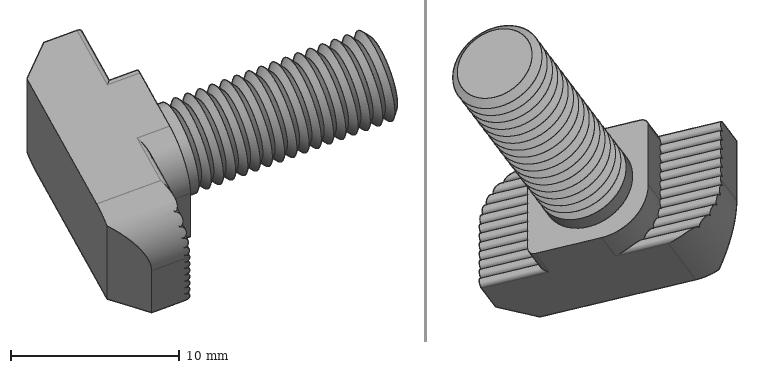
import cadquery as cq


head_length = 15.6
head_height = 7.8
head_thickness = 4.5
head_round = 3.5
end_chamfer = 2.0

ridge_count = 12
ridge_radius = head_height / ridge_count / 2
ridge_root_y = head_thickness - ridge_radius

neck_width = head_height
neck_end_y = 6.31
neck_large_round = 3.01
neck_small_round = 0.5

shank_end_y = 20.5
thread_radius = 2.9
root_radius = 2.42
thread_pitch = 0.8
thread_turns = 17


def extrude_along_y(outline, length):
    """Turn an XZ outline (drawn on the XY plane) into a solid from y = 0 to y = length."""
    solid = outline.extrude(length)
    return solid.rotate((0, 0, 0), (1, 0, 0), 90).translate((0, length, 0))


def two_radius_block(width, height, length, turning_round, other_round=0.0):
    """Block with turning_round on its +X+Z and -X-Z edges and other_round on the other two."""
    outline = cq.Sketch().rect(width, height)
    turning_corners = outline.vertices(">(1,1,0) or <(1,1,0)")
    outline = turning_corners.fillet(turning_round).reset()
    if other_round:
        outline = outline.vertices(">(1,-1,0) or <(1,-1,0)").fillet(other_round).reset()
    return extrude_along_y(cq.Workplane("XY").placeSketch(outline), length)


def serrated_bar():
    """Bar along X whose +Y side is a row of half-round ridges."""
    bottom_z = -head_height / 2
    profile = cq.Workplane("YZ").moveTo(0, bottom_z).lineTo(ridge_root_y, bottom_z)
    for ridge in range(ridge_count):
        start_z = bottom_z + 2 * ridge_radius * ridge
        crest = (head_thickness, start_z + ridge_radius)
        end = (ridge_root_y, start_z + 2 * ridge_radius)
        profile = profile.threePointArc(crest, end)
    profile = profile.lineTo(0, head_height / 2).close()
    return profile.extrude(head_length / 2, both=True)


def bevelled_plan():
    """Head shape in XY: a rectangle with both corners of the flat face cut off."""
    half_length = head_length / 2
    face_half_length = half_length - end_chamfer
    plan = cq.Workplane("XY", origin=(0, 0, -head_height / 2)).polyline([
        (-face_half_length, 0),
        (face_half_length, 0),
        (half_length, end_chamfer),
        (half_length, head_thickness),
        (-half_length, head_thickness),
        (-half_length, end_chamfer),
    ])
    return plan.close().extrude(head_height)


def make_head():
    rounded_block = two_radius_block(head_length, head_height, head_thickness, head_round)
    return rounded_block.intersect(serrated_bar()).intersect(bevelled_plan())


def make_neck():
    return two_radius_block(neck_width, neck_width, neck_end_y, neck_large_round, neck_small_round)


def make_shank():
    """Revolved shank: V-shaped rings from the tip down, then a plain collar at the neck."""
    start_y = neck_end_y - thread_pitch
    points = [(0, start_y), (0, shank_end_y)]
    for turn in range(thread_turns):
        root_y = shank_end_y - turn * thread_pitch
        points.append((root_radius, root_y))
        points.append((thread_radius, root_y - thread_pitch / 2))
    points.append((thread_radius, start_y))
    return cq.Workplane("XY").polyline(points).close().revolve(360, (0, 0, 0), (0, 1, 0))


result = make_head().union(make_neck()).union(make_shank())